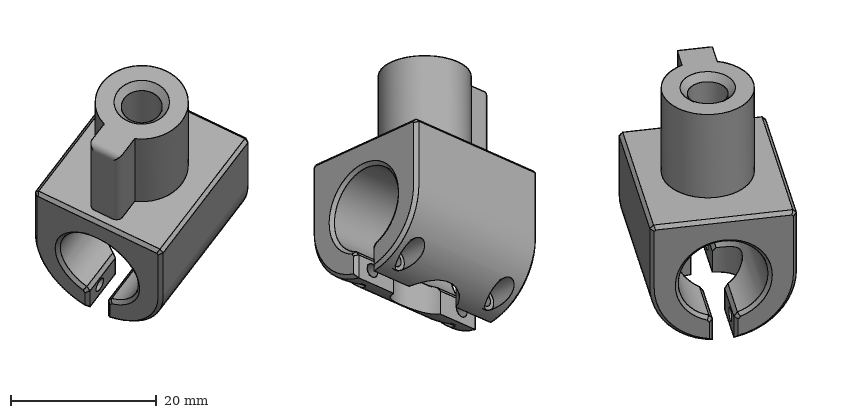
import cadquery as cq
import math

total_height = 34.4
body_width = 20.5
body_length = 23.5
body_radius = body_width / 2
clamp_bore_radius = 6.25
slot_width = 3.0
edge_chamfer = 0.5

post_radius = 6.4
rib_width = 4.92
rib_reach = 10.1
rib_fillet = 1.0
socket_diameter = 5.6
socket_mouth_diameter = 7.6
pilot_diameter = 1.75

screw_diameter = 2.0
screw_head_diameter = 3.25
screw_spacing = 17.23
screw_drop = 8.08
screw_seat_offset = 3.1
relief_radius = 4.75

body_top = body_radius
jaw_bottom = -math.sqrt(body_radius**2 - (slot_width / 2) ** 2)
post_top = total_height + jaw_bottom
post_height = post_top - body_top
socket_depth = post_height


def make_body():
    """D-shaped block with a slotted bore and chamfered edges."""
    block = cq.Workplane("XY").box(body_width, body_length, body_radius, centered=(True, True, False))
    barrel = cq.Workplane("XZ").circle(body_radius).extrude(body_length / 2, both=True)
    bore = cq.Workplane("XZ").circle(clamp_bore_radius).extrude(body_length / 2, both=True)
    slot = cq.Workplane("XY").box(slot_width, body_length, body_width, centered=(True, True, False))
    slot = slot.translate((0, 0, -body_width))
    body = block.union(barrel).cut(bore).cut(slot)

    body = body.faces(">Z").edges("|Y").chamfer(edge_chamfer)
    slot_corner_z = -math.sqrt(clamp_bore_radius**2 - (slot_width / 2) ** 2)
    corner_zone = cq.selectors.BoxSelector(
        (-slot_width, -body_length, slot_corner_z - edge_chamfer),
        (slot_width, body_length, slot_corner_z + edge_chamfer),
    )
    body = body.edges("|Y").edges(corner_zone).chamfer(edge_chamfer)
    return body.faces("<Y or >Y").edges().chamfer(edge_chamfer)


def make_post():
    """Round post with a rib pointing to -Y, rounded on its outer edges."""
    post = cq.Workplane("XY").circle(post_radius).extrude(post_height)
    rib = cq.Workplane("XY").box(rib_width, rib_reach, post_height, centered=(True, False, False))
    rib = rib.translate((0, -rib_reach, 0))
    rib = rib.faces("<Y").edges("|Z or >Z").fillet(rib_fillet)
    return post.union(rib).translate((0, 0, body_top))


def cut_socket(part):
    """Countersunk blind socket, with a pilot hole down into the clamp bore."""
    top = cq.Workplane("XY").workplane(offset=post_top)
    mouth_depth = (socket_mouth_diameter - socket_diameter) / 2
    socket = top.circle(socket_diameter / 2).extrude(-socket_depth)
    mouth = top.circle(socket_mouth_diameter / 2).workplane(offset=-mouth_depth)
    mouth = mouth.circle(socket_diameter / 2).loft()
    pilot = top.circle(pilot_diameter / 2).extrude(-post_top)
    return part.cut(socket).cut(mouth).cut(pilot)


def cut_screw_holes(part):
    """Cross holes through both jaws, each with a head seat on both sides."""
    for y in (-screw_spacing / 2, screw_spacing / 2):
        axis = cq.Workplane("YZ").center(y, -screw_drop)
        part = part.cut(axis.circle(screw_diameter / 2).extrude(body_width / 2, both=True))
        for side in (-1, 1):
            seat = cq.Workplane("YZ").workplane(offset=side * screw_seat_offset).center(y, -screw_drop)
            part = part.cut(seat.circle(screw_head_diameter / 2).extrude(side * body_width / 2))
    return part


def cut_jaw_relief(part):
    """Vertical round opening through the lower jaws only."""
    relief = cq.Workplane("XY").circle(relief_radius).extrude(-body_width)
    return part.cut(relief)


result = make_body().union(make_post())
result = cut_socket(result)
result = cut_screw_holes(result)
result = cut_jaw_relief(result)